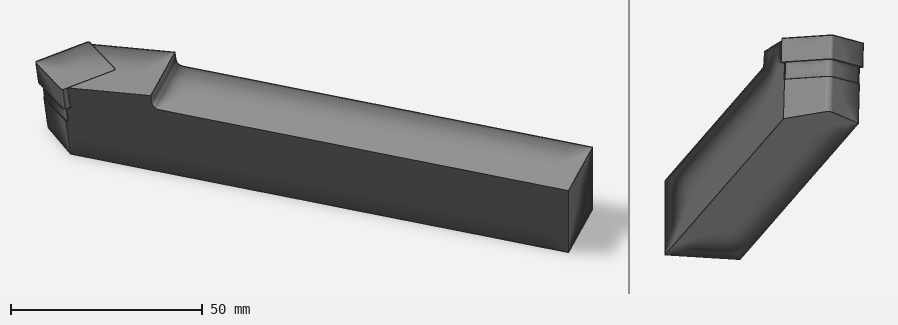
import cadquery as cq
import math

total_length = 149.7
shank_size = 20.0
head_height = 24.1
head_length = 34.9
step_radius = 2.0

tilt = math.radians(7)
slope = math.tan(tilt)

insert_side = 15.9
insert_corner_radius = 0.7
insert_thickness = 6.3

shim_side = 14.7
shim_corner_radius = 1.5
shim_thickness = 4.5

nose_ledge = 0.1
nose_side = shim_side + 2 * nose_ledge

cutter_size = 3 * head_height


def rounded_half_diagonal(side, radius):
    """Distance from the centre of a rounded square to the middle of a corner arc."""
    return side / math.sqrt(2) - radius * (math.sqrt(2) - 1)


insert_reach = rounded_half_diagonal(insert_side, insert_corner_radius)
tip_height = head_height - head_length * slope
seat_center = (insert_reach * math.cos(tilt), 0, tip_height + insert_reach * math.sin(tilt))


def seat_plane(depth):
    """Tilted plane at a depth below the insert's top face, centred on the insert."""
    plane = cq.Plane(
        origin=seat_center,
        xDir=(math.cos(tilt), 0, math.sin(tilt)),
        normal=(-math.sin(tilt), 0, math.cos(tilt)),
    )
    return cq.Plane(origin=plane.toWorldCoords((0, 0, -depth)), xDir=plane.xDir, normal=plane.zDir)


def diamond(side, radius, depth, height):
    """Rounded square prism with corners along X and Y, rising from a depth below the seat top."""
    return (
        cq.Workplane(seat_plane(depth))
        .transformed(rotate=(0, 0, 45))
        .rect(side, side)
        .extrude(height)
        .edges(cq.selectors.ParallelDirSelector(seat_plane(0).zDir))
        .fillet(radius)
    )


def make_insert():
    return diamond(insert_side, insert_corner_radius, insert_thickness, insert_thickness)


def make_blank():
    """Square shank with a raised head that slopes down to the tip."""
    step_bottom = head_length + (head_height - shank_size) * slope
    tangent_length = step_radius * math.tan((math.pi / 2 - tilt) / 2)
    arc_end = step_bottom + tangent_length
    arc_start = (
        step_bottom - tangent_length * math.sin(tilt),
        shank_size + tangent_length * math.cos(tilt),
    )
    return (
        cq.Workplane("XZ")
        .moveTo(0, 0)
        .lineTo(total_length, 0)
        .lineTo(total_length, shank_size)
        .lineTo(arc_end, shank_size)
        .radiusArc(arc_start, step_radius)
        .lineTo(head_length, head_height)
        .lineTo(0, tip_height)
        .close()
        .extrude(shank_size / 2, both=True)
    )


def make_nose_envelope():
    """Tilted wedge, parallel to the shim's front faces, that bounds the holder's nose."""
    wedge_side = 2 * total_length
    center_shift = (wedge_side - nose_side) / math.sqrt(2)
    return (
        cq.Workplane(seat_plane(cutter_size))
        .center(center_shift, 0)
        .transformed(rotate=(0, 0, 45))
        .rect(wedge_side, wedge_side)
        .extrude(2 * cutter_size)
        .edges("<X")
        .fillet(shim_corner_radius)
    )


def make_seat_clearance(depth, side, radius):
    """Space of a seated square, and everything beside and in front of it."""
    front = (
        cq.Workplane(seat_plane(depth))
        .center(-cutter_size / 2, 0)
        .rect(cutter_size, cutter_size)
        .extrude(cutter_size)
    )
    return front.union(diamond(side, radius, depth, cutter_size))


def make_holder():
    shim_bottom = insert_thickness + shim_thickness
    holder = make_blank().intersect(make_nose_envelope())
    holder = holder.cut(make_seat_clearance(shim_bottom, shim_side, shim_corner_radius))
    shim = diamond(shim_side, shim_corner_radius, shim_bottom, shim_thickness)
    holder = holder.union(shim)
    return holder.cut(make_seat_clearance(insert_thickness, insert_side, insert_corner_radius))


insert = make_insert()
holder = make_holder()
result = cq.Compound.makeCompound([*holder.solids().vals(), *insert.solids().vals()])